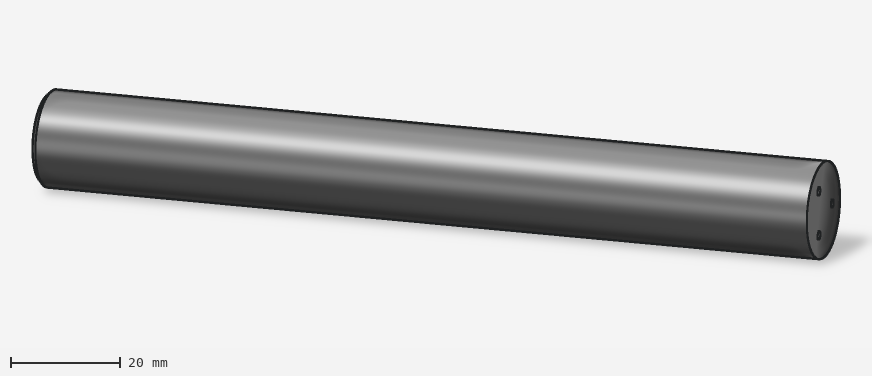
import cadquery as cq
import math

rod_length = 150.0
rod_diameter = 18.0
end_chamfer = 0.9
duct_count = 3
duct_diameter = 1.5
duct_circle_radius = 4.8
first_duct_angle = 11.0
helix_angle = 30.0

helix_lead = math.pi * rod_diameter / math.tan(math.radians(helix_angle))
duct_twist = 360 * rod_length / helix_lead


def make_rod():
    """Rod along X, with a chamfer around its -X end."""
    rod = cq.Workplane("YZ").circle(rod_diameter / 2).extrude(rod_length)
    return rod.faces("<X").edges().chamfer(end_chamfer)


def make_duct(angle):
    """Right-handed helical duct running the whole length, starting at this angle on the -X end."""
    across = -duct_circle_radius * math.cos(math.radians(angle))
    up = duct_circle_radius * math.sin(math.radians(angle))
    return (
        cq.Workplane("YZ")
        .center(across, up)
        .circle(duct_diameter / 2)
        .center(-across, -up)
        .twistExtrude(rod_length, duct_twist)
    )


result = make_rod()
for index in range(duct_count):
    result = result.cut(make_duct(first_duct_angle + index * 360 / duct_count))